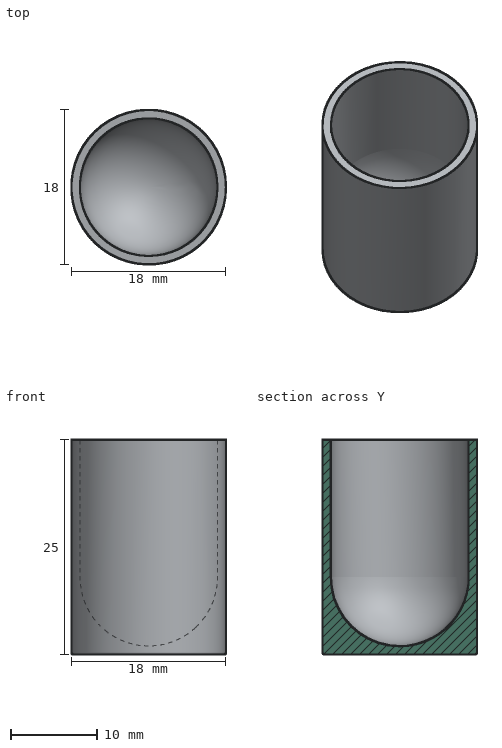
import cadquery as cq

height = 25.0
outer_radius = 9.0
wall = 1.0
inner_radius = outer_radius - wall

edge_radius = 0.25
floor_thickness = wall


def revolve_about_z(profile):
    """Full turn of an XZ half-profile around the part axis."""
    return profile.revolve(360, (0, 0, 0), (0, 1, 0))


def make_body():
    """Solid cylinder with a rounded bottom edge."""
    profile = (
        cq.Workplane("XZ")
        .lineTo(outer_radius - edge_radius, 0)
        .radiusArc((outer_radius, edge_radius), -edge_radius)
        .lineTo(outer_radius, height)
        .lineTo(0, height)
        .close()
    )
    return revolve_about_z(profile)


def make_cavity():
    """Round bore, open at the top, ending in a hemispherical bottom."""
    profile = (
        cq.Workplane("XZ")
        .moveTo(0, floor_thickness)
        .radiusArc((inner_radius, floor_thickness + inner_radius), -inner_radius)
        .lineTo(inner_radius, height)
        .lineTo(0, height)
        .close()
    )
    return revolve_about_z(profile)


result = make_body().cut(make_cavity())